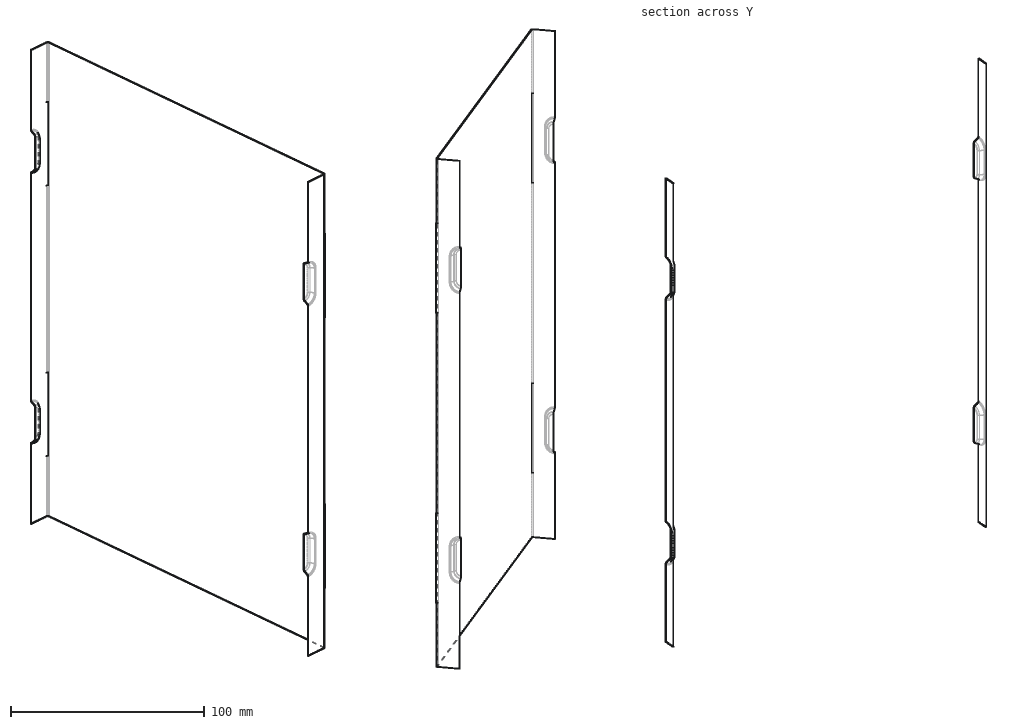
import cadquery as cq
import math

width = 202.2
depth = 12.5
height = 280.0
sheet = 0.5
bend_radius = 2 * sheet

dimple_spacing = 160.0
dimple_length = 24.5
dimple_reach = 5.0
dimple_corner = 5.0
dimple_depth = 3.0
dimple_draft = 30.0
rim_crease = sheet
floor_crease = 2 * sheet

free_edge = -depth / 2
outer_face = width / 2
wall_growth = sheet * math.tan(math.radians(90 - dimple_draft) / 2)


def make_tray():
    """U-shaped folded sheet, centred on the origin."""
    outside = (
        cq.Workplane("XY")
        .box(width, depth, height)
        .edges("|Z and >Y")
        .fillet(bend_radius)
    )
    inside = (
        cq.Workplane("XY")
        .box(width - 2 * sheet, depth, height)
        .edges("|Z and >Y")
        .fillet(bend_radius - sheet)
        .translate((0, -sheet, 0))
    )
    return outside.cut(inside)


def pressed_form(face_x, growth, rim_radius, floor_radius):
    """Backing slab beyond face_x with a drafted, rounded plug standing toward -X.

    The plug is symmetric about the free edge, so only its +Y half meets the flange.
    """
    plane = cq.Plane(origin=(face_x, free_edge, 0), xDir=(0, 1, 0), normal=(-1, 0, 0))
    plug = (
        cq.Workplane(plane)
        .sketch()
        .rect(2 * (dimple_reach + growth), dimple_length + 2 * growth)
        .vertices()
        .fillet(dimple_corner + growth)
        .finalize()
        .extrude(dimple_depth, taper=dimple_draft)
        .faces("<X")
        .edges()
        .fillet(floor_radius)
    )
    slab = cq.Workplane(plane).rect(2 * depth, 2 * dimple_length).extrude(-dimple_depth)
    rim_box = cq.selectors.BoxSelector(
        (face_x - sheet, free_edge - dimple_reach - sheet, -dimple_length / 2 - sheet),
        (face_x + sheet, free_edge + dimple_reach + sheet, dimple_length / 2 + sheet),
    )
    return slab.union(plug).edges(rim_box).fillet(rim_radius)


def both_sides(shape):
    """The shape together with its mirror image on the other flange."""
    return shape.union(shape.mirror("YZ"))


hollow = pressed_form(outer_face, 0, rim_crease + sheet, floor_crease)
bump = pressed_form(outer_face - sheet, wall_growth, rim_crease, floor_crease + sheet)
tray_envelope = cq.Workplane("XY").box(width, depth, height)
bump = bump.intersect(tray_envelope)

result = make_tray()
for z in (-dimple_spacing / 2, dimple_spacing / 2):
    place = cq.Vector(0, 0, z)
    result = result.union(both_sides(bump.translate(place)))
    result = result.cut(both_sides(hollow.translate(place)))